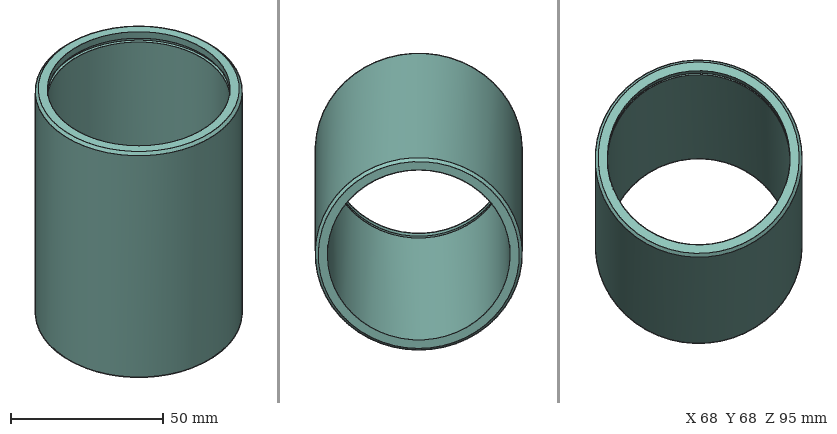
import cadquery as cq

outer_diameter = 68.0
bore_diameter = 60.0
length = 95.0
end_chamfer = 1.0

groove_depth = 1.0
groove_top_offset = 2.7
groove_width = 1.6


def make_tube():
    """Plain sleeve along Z, with both outer end edges chamfered."""
    body = cq.Workplane("XY").circle(outer_diameter / 2).extrude(length)
    body = body.faces("<Z or >Z").edges().chamfer(end_chamfer)
    return body.faces(">Z").workplane().hole(bore_diameter)


def make_groove_cutter():
    """Disc that leaves a ring groove in the bore wall just below the top end."""
    groove_floor = length - groove_top_offset - groove_width
    groove_radius = bore_diameter / 2 + groove_depth
    return cq.Workplane("XY").workplane(offset=groove_floor).circle(groove_radius).extrude(groove_width)


result = make_tube().cut(make_groove_cutter())